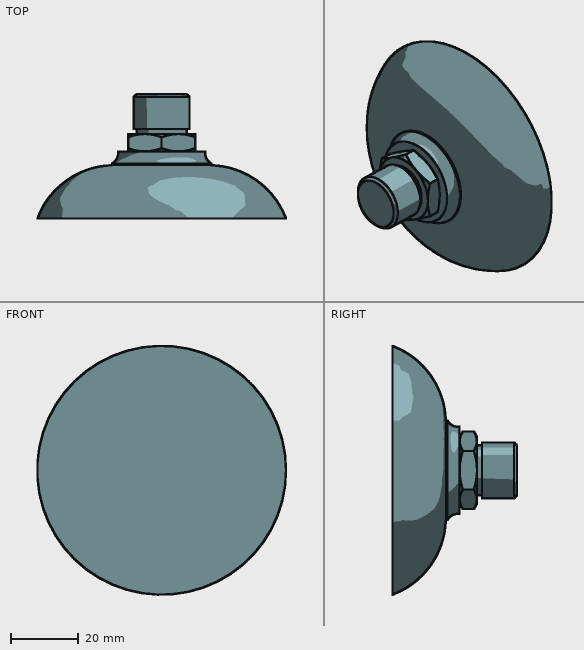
import cadquery as cq
import math

total_height = 37.0

cup_radius = 37.0
cup_top_radius = 14.8
cup_top = 15.9
cup_bulge_radius = 28.5
cup_bulge_height = 11.2

neck_radius = 26.0 / 2
neck_foot = 16.35
neck_rim = 19.7
neck_top = 20.0
neck_bow_radius = 13.4
neck_bow_height = 17.75

hex_across_flats = 20.0
hex_top = 25.1
hex_chamfer_angle = 30.0

stud_radius = 16.65 / 2
undercut_radius = 14.95 / 2
undercut_top = 26.6
stud_chamfer = 0.9


def make_cup_and_neck():
    """Solid dome with a concave neck and a short cylindrical rim."""
    profile = (
        cq.Workplane("XY")
        .moveTo(0, 0)
        .lineTo(cup_radius, 0)
        .threePointArc((cup_bulge_radius, cup_bulge_height), (cup_top_radius, cup_top))
        .lineTo(cup_top_radius, neck_foot)
        .threePointArc((neck_bow_radius, neck_bow_height), (neck_radius, neck_rim))
        .lineTo(neck_radius, neck_top)
        .lineTo(0, neck_top)
        .close()
    )
    return profile.revolve(360, (0, 0, 0), (0, 1, 0))


def make_hexagon():
    """Hexagon whose corners are trimmed by a cone at both ends."""
    flat_radius = hex_across_flats / 2
    corner_radius = flat_radius / math.cos(math.radians(30))
    corner_drop = (corner_radius - flat_radius) * math.tan(math.radians(hex_chamfer_angle))
    height = hex_top - neck_top
    prism = (
        cq.Workplane("XZ", origin=(0, neck_top, 0))
        .transformed(rotate=(0, 0, 90))
        .polygon(6, 2 * corner_radius)
        .extrude(-height)
    )
    trim = (
        cq.Workplane("XY")
        .moveTo(0, neck_top)
        .lineTo(flat_radius, neck_top)
        .lineTo(corner_radius, neck_top + corner_drop)
        .lineTo(corner_radius, hex_top - corner_drop)
        .lineTo(flat_radius, hex_top)
        .lineTo(0, hex_top)
        .close()
        .revolve(360, (0, 0, 0), (0, 1, 0))
    )
    return prism.intersect(trim)


def make_stud():
    """Undercut and plain stud with a chamfered end."""
    undercut = (
        cq.Workplane("XZ", origin=(0, hex_top, 0))
        .circle(undercut_radius)
        .extrude(hex_top - undercut_top)
    )
    stud = (
        cq.Workplane("XZ", origin=(0, undercut_top, 0))
        .circle(stud_radius)
        .extrude(undercut_top - total_height)
        .faces(">Y")
        .chamfer(stud_chamfer)
    )
    return undercut.union(stud)


result = make_cup_and_neck().union(make_hexagon()).union(make_stud())